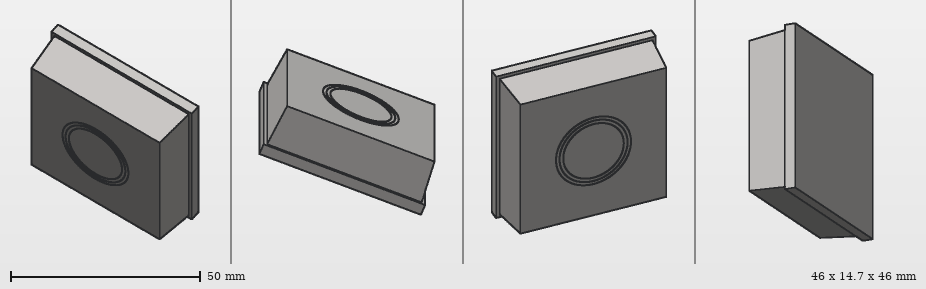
import math

import cadquery as cq

total_depth = 14.7
flange_side = 46.0
flange_thickness = 3.0
body_front_side = 42.0
body_draft_angle = 5.0
plate_thickness = 0.1

ring_outer_diameters = (21.66, 19.66, 17.5)
ring_width = 0.08
ring_height = 0.1

plate_front_depth = total_depth - ring_height
plate_back_depth = plate_front_depth - plate_thickness
body_depth = plate_back_depth - flange_thickness
body_back_side = body_front_side + 2 * body_depth * math.tan(math.radians(body_draft_angle))


def plane_at(depth):
    """Workplane facing -Y, the given depth in front of the back face."""
    return cq.Workplane("XZ", origin=(0, -depth, 0))


def make_square_slab(depth, side, thickness):
    """Square slab whose back lies at the given depth."""
    return plane_at(depth).rect(side, side).extrude(thickness)


def make_body():
    """Square block that narrows toward the front."""
    back = plane_at(flange_thickness).rect(body_back_side, body_back_side)
    return back.workplane(offset=body_depth).rect(body_front_side, body_front_side).loft()


def make_ring(outer_diameter):
    """Thin flat ring on the front plate."""
    outer_radius = outer_diameter / 2
    outline = plane_at(plate_front_depth).circle(outer_radius).circle(outer_radius - ring_width)
    return outline.extrude(ring_height)


flange = make_square_slab(0, flange_side, flange_thickness)
front_plate = make_square_slab(plate_back_depth, body_front_side, plate_thickness)

result = flange.union(make_body()).union(front_plate)
for ring_outer_diameter in ring_outer_diameters:
    result = result.union(make_ring(ring_outer_diameter))